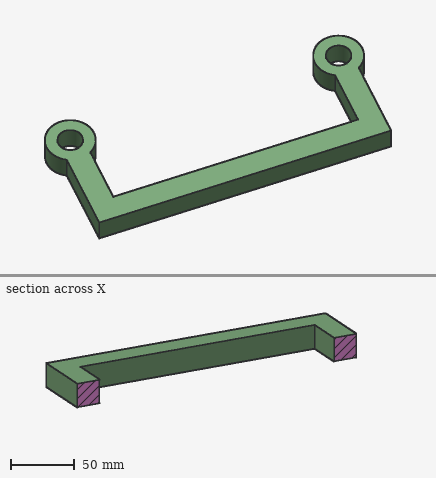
import cadquery as cq

total_length = 266.0
total_width = 105.0
bar_size = 20.0
eye_diameter = 40.0
hole_diameter = 20.0

eye_offset = (total_length - eye_diameter) / 2
back_x = total_width - eye_diameter / 2
frame_length = 2 * eye_offset + bar_size
eye_centers = [(0, -eye_offset), (0, eye_offset)]


def make_frame():
    """U-shaped square bar whose two arms end at the eye centers."""
    outer = cq.Workplane("XY").box(back_x, frame_length, bar_size, centered=(False, True, False))
    opening = cq.Workplane("XY").box(
        back_x - bar_size, frame_length - 2 * bar_size, bar_size, centered=(False, True, False)
    )
    return outer.cut(opening)


def make_cylinders(diameter):
    """Upright cylinders of the bar's height at both eye centers."""
    return cq.Workplane("XY").pushPoints(eye_centers).circle(diameter / 2).extrude(bar_size)


result = make_frame().union(make_cylinders(eye_diameter)).cut(make_cylinders(hole_diameter))